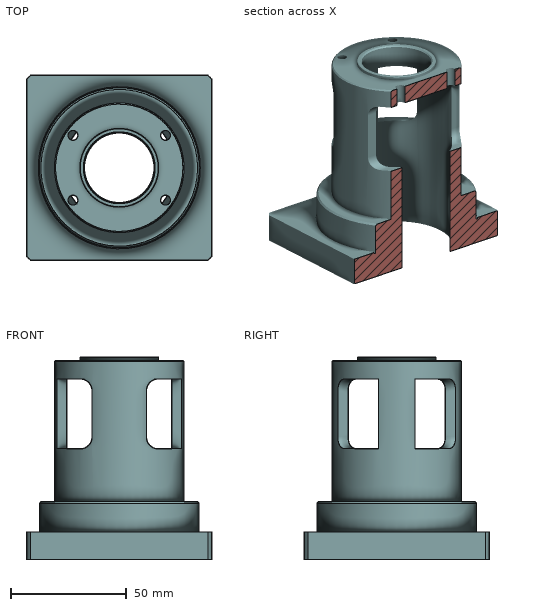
import cadquery as cq
import math

base_side = 80.0
base_height = 12.0
base_corner_chamfer = 1.75

flange_diameter = 69.0
flange_top = 25.0
flange_chamfer = 0.7
body_diameter = 56.0
body_top = 86.0
body_chamfer = 0.5
collar_diameter = 34.0
collar_chamfer = 0.2
total_height = 87.5

groove_diameter = 70.0
groove_depth = 0.5

cavity_diameter = 48.0
bore_diameter = 30.0
bore_chamfer = 0.5

window_bottom = 47.9
window_top = 78.0
window_inner_x = 11.8
window_inner_y = 8.0
window_corner_radius = 5.0

hole_diameter = 4.2
hole_circle_radius = 24.4
hole_angle = 35.0


def cylinder(diameter, bottom, top):
    """Upright cylinder on the Z axis between two heights."""
    return cq.Workplane("XY").workplane(offset=bottom).circle(diameter / 2).extrude(top - bottom)


def make_base():
    plate = cq.Workplane("XY").rect(base_side, base_side).extrude(base_height)
    plate = plate.edges("|Z").chamfer(base_corner_chamfer)
    return plate.cut(cylinder(groove_diameter, base_height - groove_depth, base_height))


def make_round_steps():
    flange = cylinder(flange_diameter, 0, flange_top).faces(">Z").chamfer(flange_chamfer)
    body = cylinder(body_diameter, 0, body_top).faces(">Z").chamfer(body_chamfer)
    collar = cylinder(collar_diameter, 0, total_height).faces(">Z").chamfer(collar_chamfer)
    return flange.union(body).union(collar)


def make_bores():
    cavity = cylinder(cavity_diameter, 0, window_top)
    bore = cylinder(bore_diameter, 0, total_height)
    return cavity.union(bore)


def make_window(side_x, side_y):
    """Corner block that opens the wall; only its edges nearest the YZ plane are rounded."""
    reach = body_diameter / 2
    block = cq.Workplane("XY").box(
        reach - window_inner_x,
        reach - window_inner_y,
        window_top - window_bottom,
        centered=False,
    )
    block = block.edges("|Y and <X").fillet(window_corner_radius)
    block = block.translate((window_inner_x, window_inner_y, window_bottom))
    if side_x < 0:
        block = block.mirror("YZ")
    if side_y < 0:
        block = block.mirror("XZ")
    return block


def make_cap_hole(side_x, side_y):
    angle = math.radians(hole_angle)
    center_x = side_x * hole_circle_radius * math.cos(angle)
    center_y = side_y * hole_circle_radius * math.sin(angle)
    hole = cylinder(hole_diameter, window_top, body_top)
    return hole.translate((center_x, center_y, 0))


result = make_base().union(make_round_steps()).cut(make_bores())
bore_rim = result.faces(">Z").edges(cq.selectors.RadiusNthSelector(0))
result = bore_rim.chamfer(bore_chamfer)
for side_x in (-1, 1):
    for side_y in (-1, 1):
        result = result.cut(make_window(side_x, side_y))
        result = result.cut(make_cap_hole(side_x, side_y))